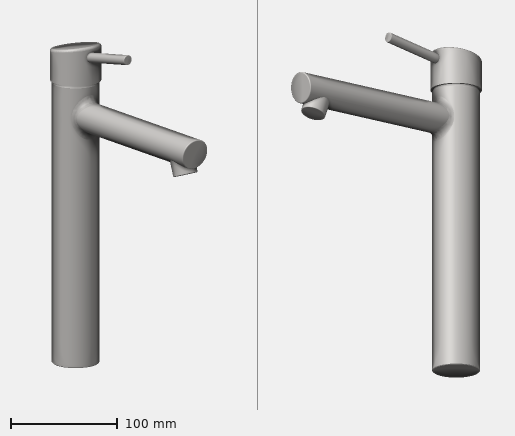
import cadquery as cq
import math


column_dia = 45.0
column_height = 274.7
column_top_chamfer_width = 1.0
column_top_chamfer_height = 2.5
column_foot_chamfer = 0.5

spout_dia = 29.0
spout_axis_z = 242.7
spout_tip_x = 189.0
spout_end_tilt = 10
spout_end_fillet = 1.0
spout_root_fillet = 7.0

nozzle_dia = 23.5
nozzle_tilt = 20
nozzle_axis_x = 163.0
nozzle_length = 24.3
nozzle_rim_fillet = 0.5

total_height = 316
cap_dia = 48.5
cap_top_tilt = 10
cap_centre_z = 308.2
dome_radius = 379.3
cap_edge_fillet = 2.5
lever_dia = 9.5
lever_tilt = 10
lever_tip_x = 81.5
lever_tip_fillet = 0.5


def direction_in_xz(angle):
    """Unit vector in the XZ plane, turned by an angle from +X toward +Z."""
    return cq.Vector(math.cos(math.radians(angle)), 0, math.sin(math.radians(angle)))


def rod(start, axis, dia, length):
    """Round bar that runs from a start point along an axis."""
    return cq.Workplane(cq.Solid.makeCylinder(dia / 2, length, start, axis))


def nozzle_rod():
    """Plain nozzle cylinder, from the spout axis down to the outlet."""
    seat = cq.Vector(nozzle_axis_x, 0, spout_axis_z)
    return rod(seat, direction_in_xz(nozzle_tilt - 90), nozzle_dia, nozzle_length)


def make_column():
    """Round column with a sloping shoulder at the top and a small chamfer at the foot."""
    radius = column_dia / 2
    profile = (
        cq.Workplane("XZ")
        .lineTo(radius - column_foot_chamfer, 0)
        .lineTo(radius, column_foot_chamfer)
        .lineTo(radius, column_height - column_top_chamfer_height)
        .lineTo(radius - column_top_chamfer_width, column_height)
        .lineTo(0, column_height)
        .close()
    )
    return profile.revolve(360, (0, 0), (0, 1))


def make_spout():
    """Horizontal round arm whose end face leans back toward its underside."""
    radius = spout_dia / 2
    lean = spout_dia * math.tan(math.radians(spout_end_tilt))
    arm = cq.Workplane("YZ").center(0, spout_axis_z).circle(radius).extrude(spout_tip_x)
    end_waste = (
        cq.Workplane("XZ")
        .moveTo(spout_tip_x, spout_axis_z + radius)
        .lineTo(spout_tip_x - lean, spout_axis_z - radius)
        .lineTo(spout_tip_x, spout_axis_z - radius)
        .close()
        .extrude(radius, both=True)
    )
    return arm.cut(end_waste).faces(">X").edges().fillet(spout_end_fillet)


def make_body():
    """Column and spout in one piece, blended at the root, with a socket for the nozzle."""
    column_radius = column_dia / 2
    root_box = cq.selectors.BoxSelector(
        (0, -column_radius, spout_axis_z - spout_dia),
        (column_radius, column_radius, spout_axis_z + spout_dia),
    )
    body = make_column().union(make_spout())
    body = body.edges(root_box).fillet(spout_root_fillet)
    return body.cut(nozzle_rod())


def make_nozzle():
    """Outlet nozzle with a softened rim."""
    return nozzle_rod().faces("<Z").edges().fillet(nozzle_rim_fillet)


def make_cap():
    """Cylindrical cap on the column, closed by a shallow dome square to the tilted top."""
    normal = direction_in_xz(cap_top_tilt + 90)
    dome_centre = cq.Vector(0, 0, cap_centre_z) - normal * dome_radius
    dome = cq.Workplane(cq.Solid.makeSphere(dome_radius, dome_centre, angleDegrees1=-90))
    cap = (
        cq.Workplane()
        .workplane(offset=column_height)
        .circle(cap_dia / 2)
        .extrude(total_height - column_height)
    )
    return cap.intersect(dome).faces(">Z").edges().fillet(cap_edge_fillet)


def make_lever():
    """Inclined rod from inside the cap, ending in an upright tip that reaches the full height."""
    axis = direction_in_xz(lever_tilt)
    half_tip_height = lever_dia / 2 / axis.x
    fillet_drop = lever_tip_fillet * ((1 + axis.z) / axis.x - 1)
    tip = cq.Vector(lever_tip_x, 0, total_height + fillet_drop - half_tip_height)
    start = tip - axis * (lever_tip_x / axis.x)
    overlong_rod = rod(start, axis, lever_dia, lever_tip_x / axis.x + lever_dia)
    tip_waste = (
        cq.Workplane("YZ", origin=(lever_tip_x, 0, tip.z))
        .rect(2 * lever_dia, 4 * lever_dia)
        .extrude(2 * lever_dia)
    )
    return overlong_rod.cut(tip_waste).faces(">X").edges().fillet(lever_tip_fillet)


def make_handle():
    """Cap and lever in one piece."""
    return make_cap().union(make_lever())


body = make_body()
nozzle = make_nozzle()
handle = make_handle()

result = cq.Compound.makeCompound([body.val(), nozzle.val(), handle.val()])